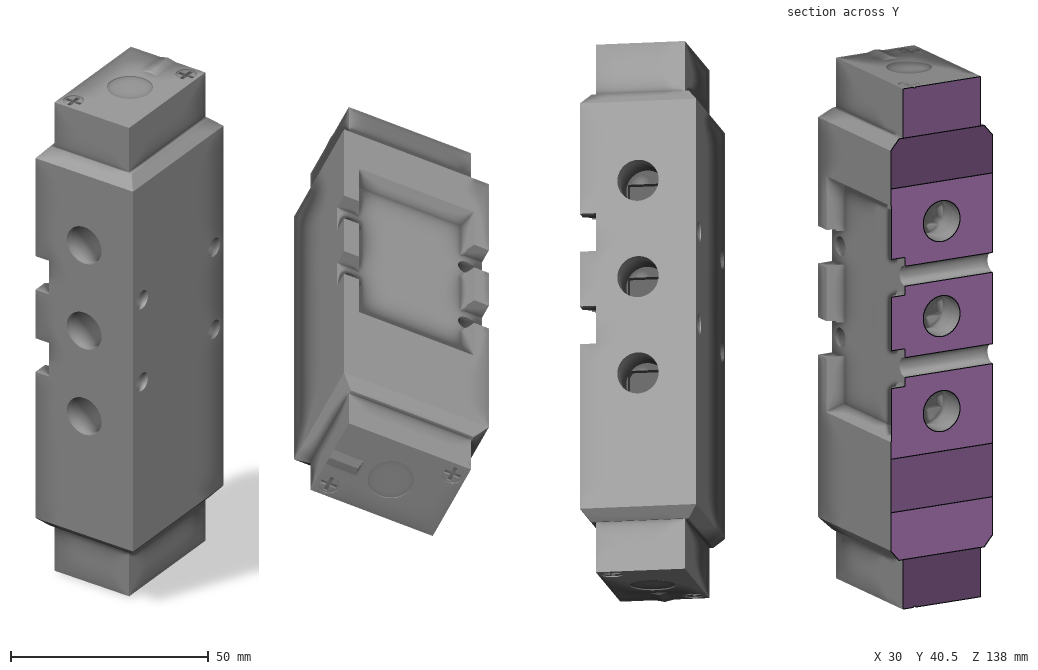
import cadquery as cq

WIDTH = 30.0
DEPTH = 40.5
LENGTH = 138.0
BODY_TOP = 42.6
SPACER_HEIGHT = 14.1
CAP_HEIGHT = 12.8
RIDGE_HEIGHT = 0.5
PILOT_TOP = LENGTH / 2 - RIDGE_HEIGHT
CAP_TOP = BODY_TOP + CAP_HEIGHT
BODY_BOTTOM = SPACER_HEIGHT - BODY_TOP
BODY_HEIGHT = BODY_TOP - BODY_BOTTOM
BODY_MID = (BODY_TOP + BODY_BOTTOM) / 2

PORT_DIAMETER = 10.6
PORT_DEPTH = 12.4
PORT_PITCH = 25.0
SLOT_PITCH = 24.2
SLOT_WIDTH = 9.7
SLOT_HEIGHT = 5.2
SLOT_DEPTH = 2.8

POCKET_DEPTH = 4.1
POCKET_WIDTH = 32.2
POCKET_LENGTH = 62.1
POCKET_SIDE_DRAFT = 2.0
POCKET_END_DRAFT = 2.1
NOTCH_PITCH = 24.0
NOTCH_HEIGHT = 9.8
NOTCH_INNER_Y = 15.0
NOTCH_STEP = 0.4
BOLT_DIAMETER = 5.1
BOLT_SPACING = 32.2

RIM_HEIGHT = 2.9
RIM_INSET_X = 2.5
RIM_INSET_Y = 3.0

PILOT_WIDTH = 22.9
PILOT_BACK = 17.2
PILOT_FRONT = -16.8
PILOT_DEPTH = PILOT_BACK - PILOT_FRONT
PILOT_MID_Y = (PILOT_BACK + PILOT_FRONT) / 2
DISC_DIAMETER = 11.6
DISC_RECESS = 0.3
SCREW_DIAMETER = 5.4
SCREW_SINK = 0.3
SCREW_X = 8.0
SCREW_OFFSET_Y = 13.5
CROSS_LENGTH = 4.4
CROSS_WIDTH = 1.1
CROSS_DEPTH = 0.7
RIDGE_WIDTH = 4.8
RIDGE_LENGTH = 8.4
RIDGE_END_SLOPE = 0.5


def box(x_size, y_size, z_size, x, y, z):
    """Box centred on the given point."""
    return cq.Workplane("XY").box(x_size, y_size, z_size).translate((x, y, z))


def port(step):
    """Round port, one step above or below the middle, with a slot in its floor."""
    port_z = BODY_MID + step * PORT_PITCH
    slot_z = BODY_MID + step * SLOT_PITCH
    front = cq.Workplane("XZ", origin=(0, -DEPTH / 2, port_z))
    bore = front.circle(PORT_DIAMETER / 2).extrude(-PORT_DEPTH)
    full_depth = PORT_DEPTH + SLOT_DEPTH
    slot = box(SLOT_WIDTH, full_depth, SLOT_HEIGHT, 0, (full_depth - DEPTH) / 2, slot_z)
    slot = slot.intersect(front.circle(PORT_DIAMETER / 2).extrude(-full_depth))
    return bore.union(slot)


def pocket():
    """Recess in the -X face with four drafted walls."""
    mouth = cq.Workplane("YZ", origin=(-WIDTH / 2, 0, BODY_MID)).rect(POCKET_WIDTH, POCKET_LENGTH)
    floor = mouth.workplane(offset=POCKET_DEPTH).rect(
        POCKET_WIDTH - 2 * POCKET_SIDE_DRAFT, POCKET_LENGTH - 2 * POCKET_END_DRAFT
    )
    return floor.loft(combine=True, ruled=True)


def notch(side, z):
    """Mounting notch from one Y side into the pocket, slightly narrower at its inner end."""
    x = (POCKET_DEPTH - WIDTH) / 2
    outer_length = DEPTH / 2 - NOTCH_INNER_Y
    outer_y = side * (DEPTH / 2 + NOTCH_INNER_Y) / 2
    floor_edge = POCKET_WIDTH / 2 - POCKET_SIDE_DRAFT
    inner_y = side * (floor_edge + NOTCH_INNER_Y) / 2
    outer = box(POCKET_DEPTH, outer_length, NOTCH_HEIGHT, x, outer_y, z)
    inner = box(POCKET_DEPTH, NOTCH_INNER_Y - floor_edge, NOTCH_HEIGHT - 2 * NOTCH_STEP, x, inner_y, z)
    return outer.union(inner)


def bolt_hole(y, z):
    """Bolt hole right through along X."""
    return cq.Workplane("YZ", origin=(-WIDTH / 2, y, z)).circle(BOLT_DIAMETER / 2).extrude(WIDTH)


def make_valve_body():
    body = box(WIDTH, DEPTH, BODY_HEIGHT, 0, 0, BODY_MID).cut(pocket())
    for step in (-1, 0, 1):
        body = body.cut(port(step))
    for z in (BODY_MID - NOTCH_PITCH / 2, BODY_MID + NOTCH_PITCH / 2):
        for side in (-1, 1):
            body = body.cut(notch(side, z))
            body = body.cut(bolt_hole(side * BOLT_SPACING / 2, z))
    return body


def make_spacer():
    return box(WIDTH, DEPTH, SPACER_HEIGHT, 0, 0, BODY_BOTTOM - SPACER_HEIGHT / 2)


def make_end_cap():
    """Upper end cap with a straight lower part and a sloping rim."""
    straight = CAP_HEIGHT - RIM_HEIGHT
    base = box(WIDTH, DEPTH, straight, 0, 0, BODY_TOP + straight / 2)
    rim = cq.Workplane("XY", origin=(0, 0, BODY_TOP + straight)).rect(WIDTH, DEPTH)
    rim = rim.workplane(offset=RIM_HEIGHT).rect(WIDTH - 2 * RIM_INSET_X, DEPTH - 2 * RIM_INSET_Y)
    return base.union(rim.loft(combine=True, ruled=True))


def screw_recess(x, y):
    """Round recess whose floor is a sunken screw face, with its cross-shaped driver slot."""
    top = cq.Workplane("XY", origin=(x, y, PILOT_TOP))
    face = top.circle(SCREW_DIAMETER / 2).extrude(-SCREW_SINK)
    cross_bottom = SCREW_SINK + CROSS_DEPTH
    slot_x = top.rect(CROSS_LENGTH, CROSS_WIDTH).extrude(-cross_bottom)
    slot_y = top.rect(CROSS_WIDTH, CROSS_LENGTH).extrude(-cross_bottom)
    return face.union(slot_x).union(slot_y)


def ridge():
    """Low gabled ridge from the rear edge, with a sloping front end."""
    front = PILOT_BACK - RIDGE_LENGTH
    gable = (
        cq.Workplane("XZ", origin=(0, PILOT_BACK, PILOT_TOP))
        .polyline([(-RIDGE_WIDTH / 2, 0), (0, RIDGE_HEIGHT), (RIDGE_WIDTH / 2, 0)])
        .close()
        .extrude(RIDGE_LENGTH)
    )
    end_cut = (
        cq.Workplane("YZ", origin=(-RIDGE_WIDTH / 2, front, PILOT_TOP))
        .polyline([(0, 0), (RIDGE_END_SLOPE, RIDGE_HEIGHT), (0, RIDGE_HEIGHT)])
        .close()
        .extrude(RIDGE_WIDTH)
    )
    return gable.cut(end_cut)


def make_pilot_block():
    """Upper pilot block with its disc recess, two sunken screws and ridge."""
    height = PILOT_TOP - CAP_TOP
    block = box(PILOT_WIDTH, PILOT_DEPTH, height, 0, PILOT_MID_Y, CAP_TOP + height / 2)
    top = cq.Workplane("XY", origin=(0, PILOT_MID_Y, PILOT_TOP))
    block = block.cut(top.circle(DISC_DIAMETER / 2).extrude(-DISC_RECESS))
    for side in (-1, 1):
        x = side * SCREW_X
        y = PILOT_MID_Y + side * SCREW_OFFSET_Y
        block = block.cut(screw_recess(x, y))
    return block.union(ridge())


def with_mirror(upper):
    """Solids of an upper-end body and of its mirror image at the lower end."""
    return [upper.val(), upper.mirror("XY").val()]


valve_body = make_valve_body()
spacer = make_spacer()
end_caps = with_mirror(make_end_cap())
pilot_blocks = with_mirror(make_pilot_block())

result = cq.Compound.makeCompound([valve_body.val(), spacer.val(), *end_caps, *pilot_blocks])